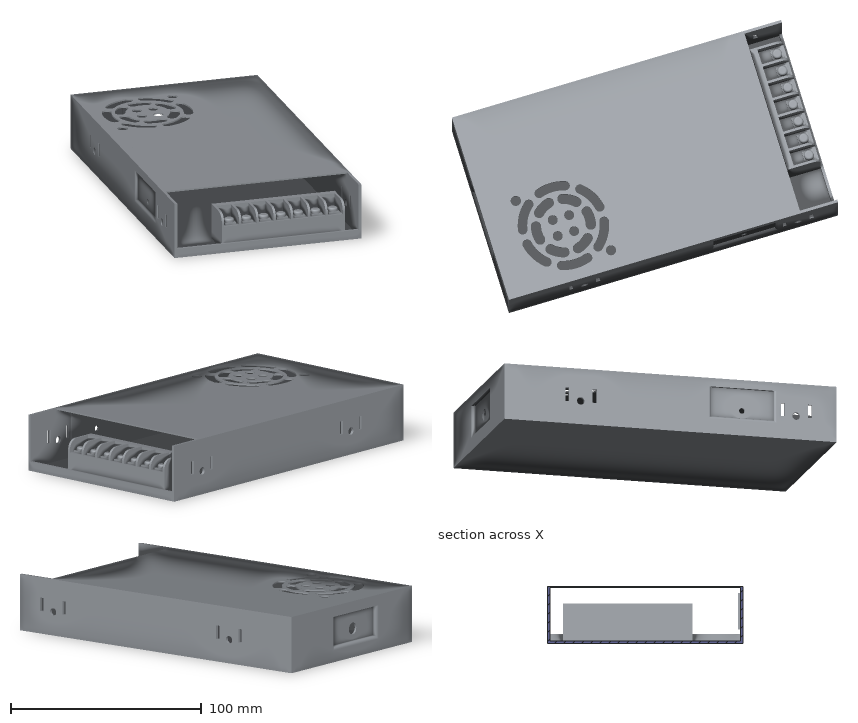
import cadquery as cq
import math

LENGTH = 180.5
WIDTH = 102.7
HEIGHT = 30.1
SHEET = 1.5
COVER_SHEET = 0.8
COVER_LENGTH = 160.0
END_LIP_HEIGHT = 5.0
FRONT_Y = -WIDTH / 2

FAN_X = 39.0
FAN_Y = -21.4
SLOTS_PER_RING = 6
OUTER_RING = {"radius": 21.5, "width": 5.0, "half_angle": 19.2, "first_angle": 30.0}
INNER_RING = {"radius": 14.4, "width": 5.4, "half_angle": 15.0, "first_angle": 0.0}
CENTRE_HOLE_DIAMETER = 5.2
CENTRE_HOLE_SPACING = 9.0
FAN_SCREW_DIAMETER = 5.4
FAN_SCREW_SPACING = 40.0

MOUNT_HOLE_XS = (41.5, 158.5)
MOUNT_HOLE_Z = 12.6
MOUNT_HOLE_DIAMETER = 4.0
MOUNT_SLOT_HEIGHT = 7.2
MOUNT_SLOT_Z = 15.7
MOUNT_SLOTS = ((-7.3, 2.0), (7.5, 2.4))

DISH_BACKING = 1.0
DISH_EDGE_STEP = 0.05
SIDE_DISH = {
    "length": 36.8,
    "bottom": 8.15,
    "top": 25.5,
    "rim_radius": 1.5,
    "hole_diameter": 3.0,
    "hole_z": 13.8,
}
SIDE_DISH_X = 129.4
END_DISH = {
    "length": 38.8,
    "bottom": 6.45,
    "top": 24.3,
    "rim_radius": 2.0,
    "hole_diameter": 6.3,
    "hole_z": 14.8,
}
END_DISH_Y = -3.3

TERMINALS = 7
TERMINAL_PITCH = 9.5
FIN_THICKNESS = 1.3
BLOCK_LEFT = 160.9
BLOCK_RIGHT = 178.8
BLOCK_BACK_Y = 43.0
BLOCK_HEIGHT = 20.8
BLOCK_END_RADIUS = 5.2
BAY_LEFT = 164.6
BAY_FLOOR_Z = 14.0
CLAMP_X = 174.2
CLAMP_SIZE = 6.0
CLAMP_THICKNESS = 1.0
SCREW_DIAMETER = 5.2
SCREW_HEIGHT = 2.0
SCREW_ROUNDING = 1.0


def box(x_range, y_range, z_range):
    """Box between the given limits."""
    size = [high - low for low, high in (x_range, y_range, z_range)]
    corner = (x_range[0], y_range[0], z_range[0])
    return cq.Workplane("XY").box(*size, centered=False).translate(corner)


def case_shell():
    """Sheet case whose cover stops short of the right end, which has only a low lip."""
    inside_y = (FRONT_Y + SHEET, -FRONT_Y - SHEET)
    shell = box((0, LENGTH), (FRONT_Y, -FRONT_Y), (0, HEIGHT))
    shell = shell.cut(box((SHEET, LENGTH - SHEET), inside_y, (SHEET, HEIGHT - COVER_SHEET)))
    return shell.cut(box((COVER_LENGTH, LENGTH), inside_y, (END_LIP_HEIGHT, HEIGHT)))


def arc_slot(radius, width, half_angle, middle_angle):
    """Round-ended slot along an arc about the fan axis, cutting the cover."""

    def point(r, angle):
        """Point at a radius and at an angle from the slot's middle."""
        turn = math.radians(middle_angle + angle)
        return (FAN_X + r * math.cos(turn), FAN_Y + r * math.sin(turn))

    inner = radius - width / 2
    outer = radius + width / 2
    cap_angle = math.degrees(width / 2 / radius)
    return (
        cq.Workplane("XY", origin=(0, 0, HEIGHT - COVER_SHEET))
        .moveTo(*point(inner, -half_angle))
        .threePointArc(point(inner, 0), point(inner, half_angle))
        .threePointArc(point(radius, half_angle + cap_angle), point(outer, half_angle))
        .threePointArc(point(outer, 0), point(outer, -half_angle))
        .threePointArc(point(radius, -half_angle - cap_angle), point(inner, -half_angle))
        .close()
        .extrude(COVER_SHEET)
    )


def fan_grille():
    """Cutter for the two slot rings, the four centre holes and the two fan screws."""
    plane = cq.Workplane("XY", origin=(FAN_X, FAN_Y, HEIGHT - COVER_SHEET))
    cutter = (
        plane.rarray(CENTRE_HOLE_SPACING, CENTRE_HOLE_SPACING, 2, 2)
        .circle(CENTRE_HOLE_DIAMETER / 2)
        .extrude(COVER_SHEET)
    )
    offset = FAN_SCREW_SPACING / 2
    screws = plane.pushPoints([(-offset, offset), (offset, -offset)])
    cutter = cutter.add(screws.circle(FAN_SCREW_DIAMETER / 2).extrude(COVER_SHEET))
    for ring in (OUTER_RING, INNER_RING):
        for i in range(SLOTS_PER_RING):
            angle = ring["first_angle"] + i * 360 / SLOTS_PER_RING
            cutter = cutter.add(arc_slot(ring["radius"], ring["width"], ring["half_angle"], angle))
    return cutter.combine()


def mount_openings():
    """Cutter through both side walls for the mounting holes and slots."""
    plane = cq.Workplane("XZ", origin=(0, -FRONT_Y, 0))
    holes = [(x, MOUNT_HOLE_Z) for x in MOUNT_HOLE_XS]
    cutter = plane.pushPoints(holes).circle(MOUNT_HOLE_DIAMETER / 2).extrude(WIDTH)
    for offset, width in MOUNT_SLOTS:
        slots = plane.pushPoints([(x + offset, MOUNT_SLOT_Z) for x in MOUNT_HOLE_XS])
        cutter = cutter.add(slots.rect(width, MOUNT_SLOT_HEIGHT).extrude(WIDTH))
    return cutter.combine()


def dish_recess(dish):
    """Cutter for a dish in a wall that faces -Y at Y = 0, centred on X = 0."""
    bottom, top, radius = dish["bottom"], dish["top"], dish["rim_radius"]
    half = dish["length"] / 2
    height = top - bottom
    block = box((-half, half), (0, radius), (bottom, top + height))
    floor = box(
        (radius - half, half - radius),
        (0, radius),
        (bottom + radius, top + height - radius),
    )
    rim = block.cut(floor)
    rounding = radius - DISH_EDGE_STEP
    rim = rim.faces("<Y").wires(cq.selectors.AreaNthSelector(0)).edges().fillet(rounding)
    return block.cut(rim).intersect(box((-half, half), (0, radius), (bottom, top)))


def add_dish(case, dish, place):
    """Press a dish with a central hole into the wall to which `place` moves it."""
    half = dish["length"] / 2 + DISH_BACKING
    depth = dish["rim_radius"] + DISH_BACKING
    backing = box((-half, half), (0, depth), (dish["bottom"] - DISH_BACKING, dish["top"] + DISH_BACKING))
    hole = (
        cq.Workplane("XZ")
        .center(0, dish["hole_z"])
        .circle(dish["hole_diameter"] / 2)
        .extrude(-depth)
    )
    return case.union(place(backing)).cut(place(dish_recess(dish))).cut(place(hole))


def terminal_block():
    """Block with a rounded outer top edge, split by fins into bays holding a clamp and a screw."""
    length = TERMINALS * TERMINAL_PITCH + FIN_THICKNESS
    block = box((BLOCK_LEFT, BLOCK_RIGHT), (BLOCK_BACK_Y - length, BLOCK_BACK_Y), (SHEET, BLOCK_HEIGHT))
    block = block.edges(">X and >Z").fillet(BLOCK_END_RADIUS)
    bay_width = TERMINAL_PITCH - FIN_THICKNESS
    for i in range(TERMINALS):
        bay_back = BLOCK_BACK_Y - FIN_THICKNESS - i * TERMINAL_PITCH
        bay_y = (bay_back - bay_width, bay_back)
        block = block.cut(box((BAY_LEFT, BLOCK_RIGHT), bay_y, (BAY_FLOOR_Z, BLOCK_HEIGHT)))
        seat = cq.Workplane("XY", origin=(CLAMP_X, bay_back - bay_width / 2, BAY_FLOOR_Z))
        clamp = seat.rect(CLAMP_SIZE, CLAMP_SIZE).extrude(CLAMP_THICKNESS)
        screw = seat.circle(SCREW_DIAMETER / 2).extrude(CLAMP_THICKNESS + SCREW_HEIGHT)
        screw = screw.faces(">Z").edges().fillet(SCREW_ROUNDING)
        block = block.union(clamp).union(screw)
    return block


def on_front_wall(shape):
    """Move a shape from the plane Y = 0 to the front side wall."""
    return shape.translate((SIDE_DISH_X, FRONT_Y, 0))


def on_left_wall(shape):
    """Turn and move a shape from the plane Y = 0 to the left end wall."""
    return shape.rotate((0, 0, 0), (0, 0, 1), -90).translate((0, END_DISH_Y, 0))


case = case_shell().cut(fan_grille())
case = add_dish(case, SIDE_DISH, on_front_wall)
case = add_dish(case, END_DISH, on_left_wall)
case = case.cut(mount_openings())
result = case.union(terminal_block())